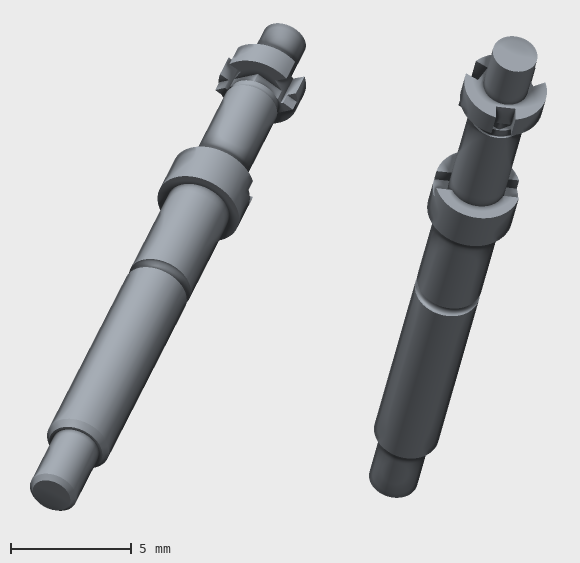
import cadquery as cq

length = 28.5

tip_end = 2.2
collar_end = 3.25
cam_end = 3.73
neck_end = 4.13
barrel_end = 8.7
flange_end = 10.55
groove_middle = 15.5
body_end = 25.55

tip_radius = 0.95
collar_radius = 1.75
neck_radius = 1.08
barrel_radius = 1.17
flange_radius = 1.8
body_radius = 1.37
tail_radius = 1.03

groove_radius = 0.25
body_chamfer_length = 0.28
body_chamfer_depth = 0.2
tail_chamfer = 0.2

cam_half_width = 1.7
cam_half_height = 1.05

notch_angles = (30, 150, 270)
notch_width = 0.83
notch_floor = 1.1

flange_slot_width = 0.9
flange_slot_depth = 0.55


def rod(start, end, radius):
    """Cylinder on the pin axis between two distances from the tip."""
    return cq.Workplane("XZ", origin=(0, -start, 0)).circle(radius).extrude(end - start)


def make_cam():
    corners = [
        (cam_half_width, 0),
        (0, cam_half_height),
        (-cam_half_width, 0),
        (0, -cam_half_height),
    ]
    cam = cq.Workplane("XZ", origin=(0, -collar_end, 0)).polyline(corners).close()
    return cam.extrude(cam_end - collar_end)


def make_notch(angle):
    """Flat-floored radial notch, open outward, through the collar and cam."""
    notch = cq.Workplane("XY").box(
        collar_radius, cam_end - tip_end, notch_width, centered=(False, False, True)
    )
    notch = notch.translate((notch_floor, -cam_end, 0))
    return notch.rotate((0, 0, 0), (0, 1, 0), -angle)


def make_head():
    """Tip, notched collar and cam."""
    head = rod(tip_end, collar_end, collar_radius).union(make_cam())
    for angle in notch_angles:
        head = head.cut(make_notch(angle))
    return head.union(rod(0, tip_end, tip_radius))


def make_flange():
    """Flange with a slot across it along X, cut down to the barrel surface."""
    flange = rod(barrel_end, flange_end, flange_radius)
    slot = cq.Workplane("XY").box(
        2 * flange_radius, flange_slot_depth, flange_slot_width, centered=(True, False, True)
    )
    slot = slot.translate((0, -barrel_end - flange_slot_depth, 0))
    return flange.cut(slot).union(rod(neck_end, flange_end, barrel_radius))


def make_body():
    """Body with a half-round groove and chamfered ends, turned about the Y axis."""
    groove_start = -groove_middle + groove_radius
    groove_stop = -groove_middle - groove_radius
    groove_bottom = body_radius - groove_radius
    profile = (
        cq.Workplane("XY")
        .moveTo(0, -flange_end)
        .lineTo(body_radius, -flange_end)
        .lineTo(body_radius, groove_start)
        .threePointArc((groove_bottom, -groove_middle), (body_radius, groove_stop))
        .lineTo(body_radius, -body_end + body_chamfer_length)
        .lineTo(body_radius - body_chamfer_depth, -body_end)
        .lineTo(tail_radius, -body_end)
        .lineTo(tail_radius, -length + tail_chamfer)
        .lineTo(tail_radius - tail_chamfer, -length)
        .lineTo(0, -length)
        .close()
    )
    return profile.revolve(360, (0, 0, 0), (0, 1, 0))


neck = rod(cam_end, neck_end, neck_radius)
result = make_head().union(neck).union(make_flange()).union(make_body())